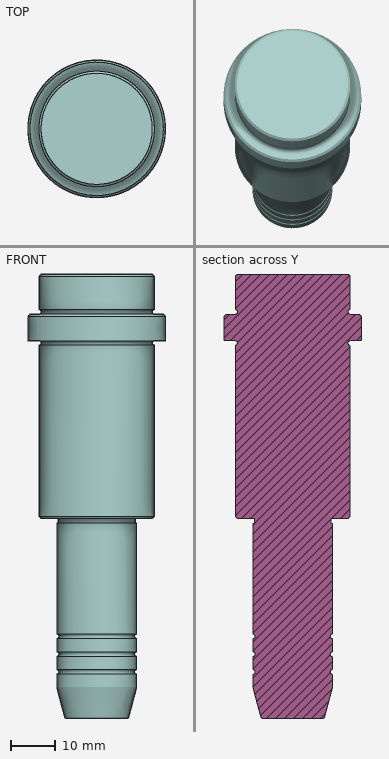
import cadquery as cq
import math

total_length = 100.0

pin_radius = 9.0
taper_height = 7.0
taper_angle = 15.0
tip_fillet = 0.5
relief_height = 1.0
relief_radius = 8.7

body_radius = 13.0
body_bottom = 45.0
collar_radius = 15.5
collar_bottom = 85.0
collar_top = 91.0
edge_chamfer = 0.5

groove_radius = 0.5
lowest_pin_groove = 10.5
pin_groove_pitch = 4.0
pin_groove_count = 3


def cylinder(radius, bottom, top):
    """Solid cylinder about Z between two heights."""
    return cq.Workplane("XY").workplane(offset=bottom).circle(radius).extrude(top - bottom)


def make_pin():
    """Pin with its rounded, tapered tip and the relief just below the body."""
    relief_bottom = body_bottom - relief_height
    tip_radius = pin_radius - taper_height * math.tan(math.radians(taper_angle))
    profile = [
        (0, 0),
        (tip_radius, 0),
        (pin_radius, taper_height),
        (pin_radius, relief_bottom),
        (relief_radius, relief_bottom),
        (relief_radius, body_bottom),
        (0, body_bottom),
    ]
    pin = cq.Workplane("XZ").polyline(profile).close().revolve(360, (0, 0, 0), (0, 1, 0))
    return pin.faces("<Z").edges().fillet(tip_fillet)


def make_body():
    """Main cylinder, running up to the collar."""
    return cylinder(body_radius, body_bottom, collar_bottom).faces("<Z").edges().chamfer(edge_chamfer)


def make_collar():
    """Collar, chamfered around its top edge."""
    return cylinder(collar_radius, collar_bottom, collar_top).faces(">Z").edges().chamfer(edge_chamfer)


def make_head():
    """Short cylinder above the collar."""
    return cylinder(body_radius, collar_top, total_length).faces(">Z").edges().chamfer(edge_chamfer)


def make_groove_cutter(surface_radius, center_height):
    """Torus that cuts a semicircular groove into a cylinder of the given radius."""
    return (
        cq.Workplane("XZ")
        .transformed(offset=(surface_radius, center_height, 0), rotate=(0, 0, 180))
        .circle(groove_radius)
        .revolve(360, (surface_radius, 0, 0), (surface_radius, 1, 0))
    )


pin = make_pin()
for index in range(pin_groove_count):
    pin = pin.cut(make_groove_cutter(pin_radius, lowest_pin_groove + index * pin_groove_pitch))

body = make_body().cut(make_groove_cutter(body_radius, collar_bottom - groove_radius))
head = make_head().cut(make_groove_cutter(body_radius, collar_top + groove_radius))

result = pin.union(body).union(make_collar()).union(head)